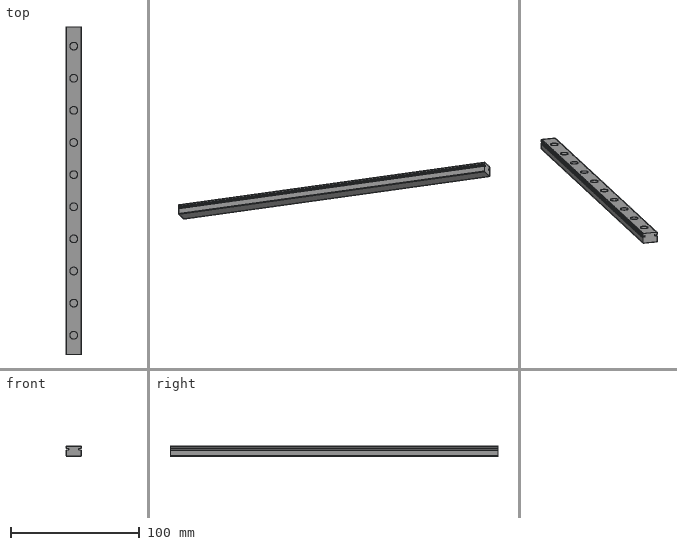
import cadquery as cq

WIDTH = 12.0
LENGTH = 255.0
HEIGHT = 8.0
EDGE_CHAMFER = 0.5

GROOVE_CENTER_Z = 5.5
GROOVE_WIDTH = 2.0
GROOVE_DEPTH = 0.5
SLOT_WIDTH = 0.8
SLOT_DEPTH = 2.0

RECESS_COUNT = 10
RECESS_PITCH = 25.0
RECESS_DIAMETER = 6.0
RECESS_DEPTH = 0.2


def make_body():
    """Rectangular bar with its four long edges chamfered, resting on Z = 0."""
    bar = cq.Workplane("XY").box(WIDTH, LENGTH, HEIGHT, centered=(True, True, False))
    return bar.edges("|Y").chamfer(EDGE_CHAMFER)


def make_groove(side):
    """Full-length groove and slot cutter; side is -1 for -X and +1 for +X."""
    face_x = side * WIDTH / 2
    groove_floor_x = side * (WIDTH / 2 - GROOVE_DEPTH)
    groove_top_z = GROOVE_CENTER_Z + GROOVE_WIDTH / 2
    groove_bottom_z = GROOVE_CENTER_Z - GROOVE_WIDTH / 2
    groove = (
        cq.Workplane("XZ")
        .moveTo(face_x, groove_top_z)
        .threePointArc((groove_floor_x, GROOVE_CENTER_Z), (face_x, groove_bottom_z))
        .close()
        .extrude(LENGTH / 2, both=True)
    )
    slot = cq.Workplane("XY").box(2 * SLOT_DEPTH, LENGTH, SLOT_WIDTH).translate((face_x, 0, GROOVE_CENTER_Z))
    return groove.union(slot)


def make_recesses():
    """Evenly spaced round cutters sunk into the top face along the centreline."""
    return (
        cq.Workplane("XY", origin=(0, 0, HEIGHT))
        .rarray(1, RECESS_PITCH, 1, RECESS_COUNT)
        .circle(RECESS_DIAMETER / 2)
        .extrude(-RECESS_DEPTH)
    )


result = make_body()
for side in (-1, 1):
    result = result.cut(make_groove(side))
result = result.cut(make_recesses())